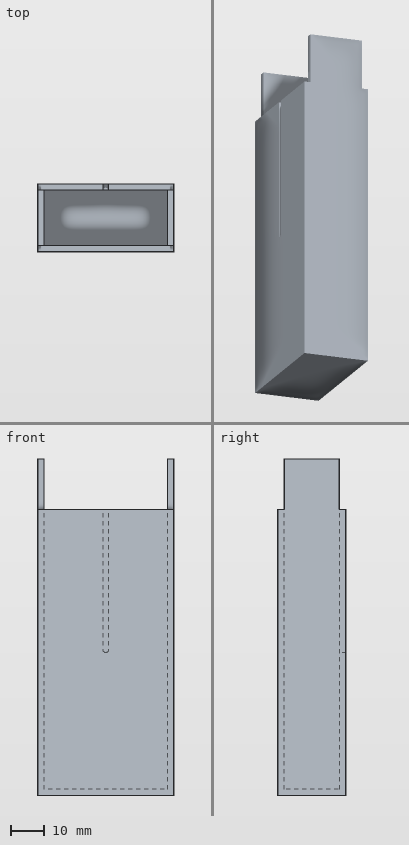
import cadquery as cq

width = 40.4
depth = 20.2
height = 100.0

wall = 1.9
tab_height = 15.0
shoulder_height = height - tab_height
inner_width = width - 2 * wall
inner_depth = depth - 2 * wall

slot_width = 1.7
slot_depth = shoulder_height / 2


def box_on(base_z, size_x, size_y, size_z):
    """Box centred in X and Y that stands on the height base_z."""
    box = cq.Workplane("XY").box(size_x, size_y, size_z, centered=(True, True, False))
    return box.translate((0, 0, base_z))


def back_slot():
    """Cutter through the back wall with a half-round lower end."""
    radius = slot_width / 2
    bottom_z = shoulder_height - slot_depth
    arc_z = bottom_z + radius
    return (
        cq.Workplane("XZ", origin=(0, depth / 2, 0))
        .moveTo(-radius, shoulder_height)
        .lineTo(-radius, arc_z)
        .threePointArc((0, bottom_z), (radius, arc_z))
        .lineTo(radius, shoulder_height)
        .close()
        .extrude(wall)
    )


body = box_on(0, width, depth, shoulder_height)
tabs = box_on(0, width, inner_depth, height)
cavity = box_on(wall, inner_width, inner_depth, height)

result = body.union(tabs).cut(cavity).cut(back_slot())